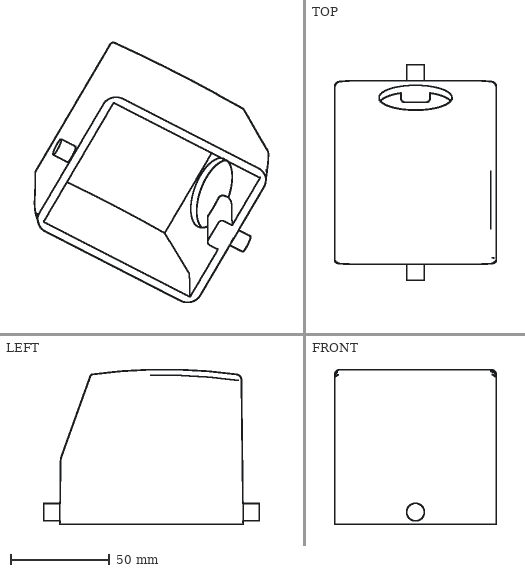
import cadquery as cq
import math

width = 82.5
base_depth = 93.5
draft_angle = 0.69
apex_height = 79.05
crown_radius = 268.0
crown_center_y = -6.6
kink_height = 33.5
slope_angle = 19.8
wall = 4.2

top_radius = 3.0
slope_top_radius = 1.5
kink_radius = 8.0
corner_radius_base = 7.5
flare_height = 18.0
front_radius_flare = 3.1
back_radius_flare = 4.3
mid_height = 45.0
front_radius_mid = 2.2
corner_radius_kink = 2.9
corner_radius_top = 1.6

entry_center_y = 38.6
entry_diameter = 37.2
entry_rim_diameter = 41.4
entry_chamfer_depth = 0.5
entry_depth = 14.0

column_width = 15.0
column_inner_y = 35.7
column_corner_radius = 2.2

pin_diameter = 9.0
pin_height = 6.3
pin_span = 110.0

shapes = cq.occ_impl.shapes

draft = math.tan(math.radians(draft_angle))
slope = math.tan(math.radians(slope_angle))


def wall_y(z):
    """Distance of the drafted end walls from the middle at a given height."""
    return base_depth / 2 - draft * z


def slope_y(z):
    """Position of the sloped back panel at a given height."""
    return wall_y(kink_height) - slope * (z - kink_height)


def crown_end(panel_start_y, panel_slope):
    """Point where a panel, given by its y at z = 0 and dy/dz, meets the arched top."""
    y = panel_start_y - crown_center_y
    z = crown_radius - apex_height
    a = panel_slope**2 + 1
    b = panel_slope * y + z
    c = y**2 + z**2 - crown_radius**2
    t = (-b + math.sqrt(b**2 - a * c)) / a
    return panel_start_y + panel_slope * t, t


entry_center_z = kink_height + (wall_y(kink_height) - entry_center_y) / slope

front_top = crown_end(-wall_y(0), draft)
back_top = crown_end(slope_y(0), -slope)

kink_turn = math.radians(slope_angle - draft_angle)
kink_tangent = kink_radius * math.tan(kink_turn / 2)
kink_low_z = kink_height - kink_tangent * math.cos(math.radians(draft_angle))
kink_high_z = kink_height + kink_tangent * math.cos(math.radians(slope_angle))
kink_low = (wall_y(kink_low_z), kink_low_z)
kink_high = (slope_y(kink_high_z), kink_high_z)


def hood_prism(base_z, inset=0):
    """Solid under the side outline from a given base height, with all sides moved in by an inset."""
    outline = (
        cq.Workplane("YZ")
        .moveTo(wall_y(base_z), base_z)
        .lineTo(*kink_low)
        .tangentArcPoint(kink_high, relative=False)
        .lineTo(*back_top)
        .threePointArc((crown_center_y, apex_height), front_top)
        .lineTo(-wall_y(base_z), base_z)
        .close()
    )
    if inset:
        outline = outline.offset2D(-inset)
    return outline.extrude(width / 2 - inset, both=True)


def edge_at(solid, x, y, z):
    """Edge of the solid that passes closest to a point."""
    point = cq.Vertex.makeVertex(x, y, z)
    return min(solid.Edges(), key=lambda edge: edge.distance(point))


def add_tapered_fillet(builder, edge, radii):
    """Round an edge with a radius that changes smoothly, given as rising (height, radius) pairs."""
    start_z = edge.startPoint().z
    rise = edge.endPoint().z - start_z
    if rise < 0:
        radii = radii[::-1]
    law = shapes.TColgp_HArray1OfPnt2d(1, len(radii))
    for index, (z, radius) in enumerate(radii, start=1):
        law.SetValue(index, shapes.gp_Pnt2d((z - start_z) / rise, radius))
    builder.Add(law.Array1(), edge.wrapped)


def make_body():
    """Solid hood with corners that widen towards the open rim."""
    solid = hood_prism(0).val()
    builder = shapes.BRepFilletAPI_MakeFillet(solid.wrapped)
    front_radii = [
        (0, corner_radius_base),
        (flare_height, front_radius_flare),
        (mid_height, front_radius_mid),
        (front_top[1], corner_radius_top),
    ]
    back_radii = [
        (0, corner_radius_base),
        (flare_height, back_radius_flare),
        (kink_low[1], corner_radius_kink),
    ]
    slope_radii = [
        (kink_high[1], corner_radius_kink),
        (back_top[1], corner_radius_top),
    ]
    slope_mid_z = (kink_high[1] + back_top[1]) / 2
    for x in (-width / 2, width / 2):
        add_tapered_fillet(builder, edge_at(solid, x, -wall_y(flare_height), flare_height), front_radii)
        add_tapered_fillet(builder, edge_at(solid, x, wall_y(flare_height), flare_height), back_radii)
        add_tapered_fillet(builder, edge_at(solid, x, slope_y(slope_mid_z), slope_mid_z), slope_radii)
        builder.Add(corner_radius_kink, edge_at(solid, x, wall_y(kink_height), kink_height).wrapped)
        builder.Add(top_radius, edge_at(solid, x, crown_center_y, apex_height).wrapped)
    builder.Add(top_radius, edge_at(solid, 0, *front_top).wrapped)
    builder.Add(slope_top_radius, edge_at(solid, 0, *back_top).wrapped)
    return cq.Workplane(cq.Shape.cast(builder.Shape()))


def make_cavity():
    """Inner space, one wall thickness inside the hood and open at the bottom."""
    return hood_prism(-wall, wall)


def make_column():
    """Inner column behind the back pin, with rounded inner corners, reaching up to the cable entry."""
    outer_y = wall_y(0)
    column = (
        cq.Workplane("XY")
        .box(column_width, outer_y - column_inner_y, entry_center_z, centered=(True, False, False))
        .translate((0, column_inner_y, 0))
        .edges("|Z and <Y")
        .fillet(column_corner_radius)
    )
    return column.intersect(hood_prism(0))


def make_entry():
    """Chamfered round cutter, square to the sloped panel and deep enough to hollow the column top."""
    panel = cq.Plane(
        origin=(0, entry_center_y, entry_center_z),
        xDir=(1, 0, 0),
        normal=(0, math.cos(math.radians(slope_angle)), math.sin(math.radians(slope_angle))),
    )
    bore = cq.Workplane(panel).circle(entry_diameter / 2).extrude(-entry_depth)
    rim = (
        cq.Workplane(panel)
        .circle(entry_rim_diameter / 2)
        .workplane(offset=-entry_chamfer_depth)
        .circle(entry_diameter / 2)
        .loft()
    )
    return bore.union(rim)


def make_pin(side):
    """Locking pin on the end wall at the given side (+1 back, -1 front)."""
    inner_y = wall_y(pin_height) - wall / 2
    base = cq.Plane(origin=(0, side * inner_y, pin_height), xDir=(1, 0, 0), normal=(0, side, 0))
    return cq.Workplane(base).circle(pin_diameter / 2).extrude(pin_span / 2 - inner_y)


result = make_body().cut(make_cavity()).union(make_column()).cut(make_entry())
for pin_side in (-1, 1):
    result = result.union(make_pin(pin_side))